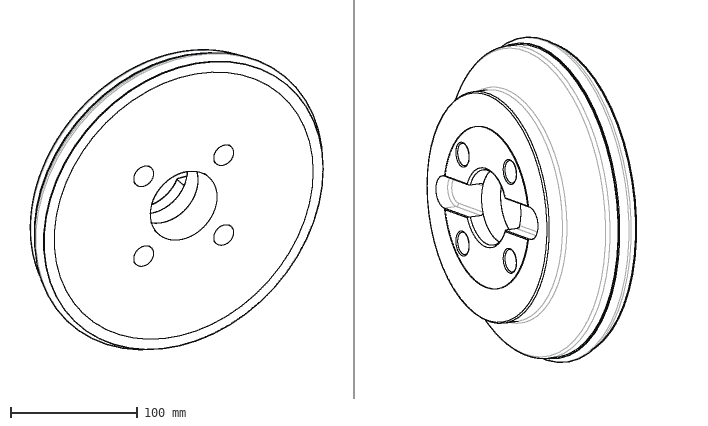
import cadquery as cq
import math

total_width = 63.0
boss_height = 0.8
boss_radius = 64.8

neck_radius = 185.0 / 2
neck_chamfer_length = 1.5
neck_chamfer_height = 1.0
cone_start = 16.5
cone_angle = math.radians(57.7)
cone_fillet = 3.6
shoulder_radius = 249.5 / 2
cone_end = cone_start + (shoulder_radius - neck_radius) / math.tan(cone_angle)

rim_radius = 129.7
crest_position = 54.7
flank_angle = math.radians(30)
crest_round = 2.0
ring_half_width = total_width - crest_position
land_width = 1.0
ring_inner_radius = 116.7

bore_radius = 60.0 / 2
front_bore_radius = 60.2 / 2
back_bore_radius = 60.2 / 2
back_bore_start = 31.6
bore_chamfer = 1.8

slot_width = 26.0
slot_center_reach = boss_radius
slot_depth = 14.0
slot_floor_fillet = 2.3
slot_lip_chamfer = 0.8
bolt_hole_radius = 18.0 / 2
bolt_hole_chamfer = 1.0
bolt_hole_offset = 36.0

sharp_crest_radius = rim_radius + crest_round * (1 / math.cos(flank_angle) - 1)
ring_start = crest_position - ring_half_width
flank_half_width = ring_half_width - land_width
land_radius = sharp_crest_radius - flank_half_width * math.tan(flank_angle)
crest_center_radius = rim_radius - crest_round
crest_half_width = crest_round * math.sin(flank_angle)
crest_arc_radius = crest_center_radius + crest_round * math.cos(flank_angle)


def cylinder_x(radius, start, end):
    """Solid cylinder about the X axis between two X positions."""
    return cq.Workplane("YZ", origin=(start, 0, 0)).circle(radius).extrude(end - start)


def lip_cone(radius, chamfer, y=0, z=0):
    """Conical cutter that chamfers the front edge of a hole in the boss."""
    wide_radius = radius + chamfer
    cone = cq.Solid.makeCone(wide_radius, radius, chamfer, cq.Vector(0, y, z), cq.Vector(1, 0, 0))
    return cq.Workplane(obj=cone)


def revolve_x(profile):
    return profile.close().revolve(360, (0, 0, 0), (1, 0, 0))


def make_hub_blank():
    """Revolved hub with a rebate at the back for the rim ring."""
    blank = revolve_x(
        cq.Workplane("XY")
        .moveTo(0, 0)
        .lineTo(0, boss_radius)
        .lineTo(boss_height, boss_radius)
        .lineTo(boss_height, neck_radius - neck_chamfer_height)
        .lineTo(boss_height + neck_chamfer_length, neck_radius)
        .lineTo(cone_start, neck_radius)
        .lineTo(cone_end, shoulder_radius)
        .lineTo(ring_start, shoulder_radius)
        .lineTo(ring_start, ring_inner_radius)
        .lineTo(total_width, ring_inner_radius)
        .lineTo(total_width, 0)
    )
    selection_margin = 0.3
    reach = shoulder_radius + selection_margin
    cone_ends = cq.selectors.BoxSelector(
        (cone_start - selection_margin, -reach, -reach),
        (cone_end + selection_margin, reach, reach),
        boundingbox=True,
    )
    return blank.edges(cone_ends).edges("%CIRCLE").fillet(cone_fillet)


def make_slot():
    """Round-ended cutter with a filleted floor and chamfered straight lips."""
    length = 2 * slot_center_reach + slot_width
    slot = cq.Workplane("YZ").slot2D(length, slot_width).extrude(slot_depth)
    slot = slot.faces(">X").edges().fillet(slot_floor_fillet)
    half_width = slot_width / 2
    lips = (
        cq.Workplane("XZ", origin=(0, slot_center_reach, 0))
        .moveTo(0, half_width + slot_lip_chamfer)
        .lineTo(slot_lip_chamfer, half_width)
        .lineTo(slot_lip_chamfer, -half_width)
        .lineTo(0, -half_width - slot_lip_chamfer)
        .close()
        .extrude(2 * slot_center_reach)
    )
    return slot.union(lips)


def cut_bore(body):
    body = body.cut(cylinder_x(bore_radius, 0, total_width))
    body = body.cut(cylinder_x(front_bore_radius, 0, slot_depth))
    body = body.cut(cylinder_x(back_bore_radius, back_bore_start, total_width))
    return body.cut(lip_cone(front_bore_radius, bore_chamfer))


def cut_bolt_holes(body):
    for y in (-bolt_hole_offset, bolt_hole_offset):
        for z in (-bolt_hole_offset, bolt_hole_offset):
            hole = cylinder_x(bolt_hole_radius, 0, total_width).translate((0, y, z))
            body = body.cut(hole).cut(lip_cone(bolt_hole_radius, bolt_hole_chamfer, y, z))
    return body


def make_hub():
    hub = make_hub_blank().cut(make_slot())
    hub = cut_bore(hub)
    return cut_bolt_holes(hub)


def make_rim_ring():
    """Symmetric V-section ring seated in the rebate of the hub."""
    return revolve_x(
        cq.Workplane("XY")
        .moveTo(ring_start, ring_inner_radius)
        .lineTo(ring_start, land_radius)
        .lineTo(crest_position - flank_half_width, land_radius)
        .lineTo(crest_position - crest_half_width, crest_arc_radius)
        .threePointArc((crest_position, rim_radius), (crest_position + crest_half_width, crest_arc_radius))
        .lineTo(crest_position + flank_half_width, land_radius)
        .lineTo(total_width, land_radius)
        .lineTo(total_width, ring_inner_radius)
    )


hub = make_hub()
rim_ring = make_rim_ring()

result = cq.Compound.makeCompound([hub.val(), rim_ring.val()])